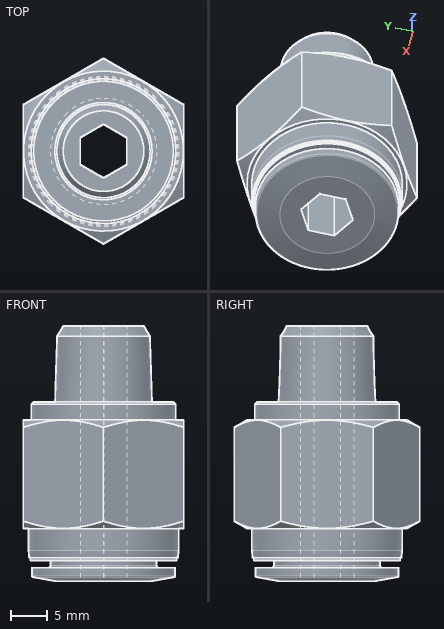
import cadquery as cq
import math

total_height = 35.3
stud_length = 10.5
collar_height = 2.5
nut_height = 15.0
sleeve_height = 4.0
sleeve_taper_height = 1.0
lip_height = 0.45
neck_height = 0.95

stud_base = total_height - stud_length
nut_top = stud_base - collar_height
nut_base = nut_top - nut_height
sleeve_base = nut_base - sleeve_height
lip_base = sleeve_base - lip_height
flange_top = lip_base - neck_height

stud_small_diameter = 12.78
stud_taper = 1 / 16
stud_end_diameter = 11.14
stud_chamfer_height = 1.45

collar_diameter = 20.0
collar_chamfer = 0.35
nut_across_flats = 22.22
nut_chamfer_diameter = 22.1
nut_chamfer_angle = 30

sleeve_diameter = 20.8
sleeve_end_diameter = 20.6
lip_diameter = 20.3
lip_chamfer = 0.1
neck_diameter = 14.7
neck_fillet = 0.3
flange_diameter = 19.8
flange_cone_height = 0.6
flange_fillet = 0.2
flange_face_diameter = 13.1

socket_across_flats = 6.4

corners_per_flats = 1 / math.cos(math.radians(30))


def disc(diameter, bottom, top):
    """Cylinder on the Z axis between two heights."""
    return cq.Workplane("XY").workplane(offset=bottom).circle(diameter / 2).extrude(top - bottom)


def revolved(profile):
    """Solid of revolution about Z from (radius, height) points, closed along the axis."""
    points = [(0, profile[0][1]), *profile, (0, profile[-1][1])]
    return cq.Workplane("XZ").polyline(points).close().revolve(360, (0, 0), (0, 1))


def hexagon(across_flats, bottom, top):
    """Hexagonal prism on the Z axis with its corners pointing along Y."""
    across_corners = across_flats * corners_per_flats
    prism = cq.Workplane("XY").workplane(offset=bottom).polygon(6, across_corners).extrude(top - bottom)
    return prism.rotate((0, 0, 0), (0, 0, 1), 90)


def make_stud():
    chamfer_base = total_height - stud_chamfer_height
    base_diameter = stud_small_diameter + stud_taper * stud_length
    shoulder_diameter = stud_small_diameter + stud_taper * stud_chamfer_height
    return revolved([
        (base_diameter / 2, stud_base),
        (shoulder_diameter / 2, chamfer_base),
        (stud_end_diameter / 2, total_height),
    ])


def make_collar():
    return disc(collar_diameter, nut_top, stud_base).faces(">Z").edges().chamfer(collar_chamfer)


def make_nut():
    """Hexagonal prism whose corners are cut back conically at both ends."""
    face_radius = nut_chamfer_diameter / 2
    clearance = 1.0
    outer_radius = nut_across_flats * corners_per_flats / 2 + clearance
    drop = (outer_radius - face_radius) * math.tan(math.radians(nut_chamfer_angle))
    envelope = revolved([
        (face_radius, nut_base),
        (outer_radius, nut_base + drop),
        (outer_radius, nut_top - drop),
        (face_radius, nut_top),
    ])
    return hexagon(nut_across_flats, nut_base, nut_top).intersect(envelope)


def make_sleeve():
    sleeve = revolved([
        (sleeve_end_diameter / 2, sleeve_base),
        (sleeve_diameter / 2, sleeve_base + sleeve_taper_height),
        (sleeve_diameter / 2, nut_base),
    ])
    lip = disc(lip_diameter, lip_base, sleeve_base).faces("<Z").edges().chamfer(lip_chamfer)
    return sleeve.union(lip)


def make_release_ring():
    """Flange with a shallow conical underside, joined to the sleeve by a narrow neck."""
    flange_radius = flange_diameter / 2
    flange = revolved([
        (flange_face_diameter / 2, 0),
        (flange_radius, flange_cone_height),
        (flange_radius, flange_top),
    ])
    widest = cq.selectors.RadiusNthSelector(-1)
    lower_rim = flange.edges("%CIRCLE").edges("not >Z").edges(widest)
    flange = lower_rim.fillet(flange_fillet)

    neck_radius = neck_diameter / 2
    foot_radius = neck_radius + neck_fillet
    foot_top = flange_top + neck_fillet
    arc_offset = neck_fillet * (1 - math.sqrt(0.5))
    neck = (
        cq.Workplane("XZ")
        .moveTo(0, flange_top)
        .lineTo(foot_radius, flange_top)
        .threePointArc((neck_radius + arc_offset, flange_top + arc_offset), (neck_radius, foot_top))
        .lineTo(neck_radius, lip_base)
        .lineTo(0, lip_base)
        .close()
        .revolve(360, (0, 0), (0, 1))
    )
    return flange.union(neck)


body = make_release_ring()
for section in (make_sleeve(), make_nut(), make_collar(), make_stud()):
    body = body.union(section)

result = body.cut(hexagon(socket_across_flats, 0, total_height))